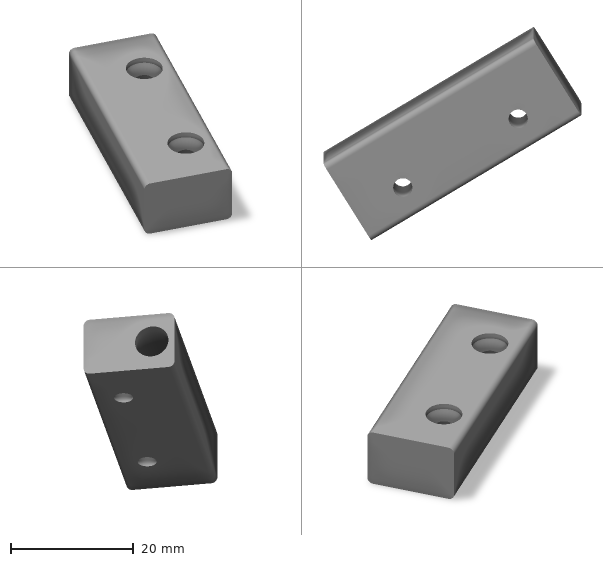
import cadquery as cq

length = 40.0
width = 15.0
height = 10.0
edge_radius = 1.0

screw_spacing = 22.0
screw_from_back = 5.0
screw_diameter = 3.1
head_diameter = 6.0
head_recess = 1.0

bore_diameter = 5.5
bore_from_front = 3.75
bore_depth = 20.0


def block():
    """Bar with its four long edges rounded."""
    return (
        cq.Workplane("XY")
        .box(length, width, height, centered=(True, True, False))
        .edges("|X")
        .fillet(edge_radius)
    )


def screw_hole(x, y):
    """Through hole with a straight head recess above a 90 degree cone."""
    head_radius = head_diameter / 2
    screw_radius = screw_diameter / 2
    cone_top = height - head_recess
    cone_bottom = cone_top - (head_radius - screw_radius)
    return (
        cq.Workplane("XZ")
        .moveTo(0, 0)
        .lineTo(screw_radius, 0)
        .lineTo(screw_radius, cone_bottom)
        .lineTo(head_radius, cone_top)
        .lineTo(head_radius, height)
        .lineTo(0, height)
        .close()
        .revolve(360, (0, 0), (0, 1))
        .translate((x, y, 0))
    )


def end_bore():
    """Flat-bottomed bore along X, at mid height."""
    return (
        cq.Workplane("YZ", origin=(-length / 2, -width / 2 + bore_from_front, height / 2))
        .circle(bore_diameter / 2)
        .extrude(bore_depth)
    )


result = block().cut(end_bore())
for side in (-1, 1):
    result = result.cut(screw_hole(side * screw_spacing / 2, width / 2 - screw_from_back))